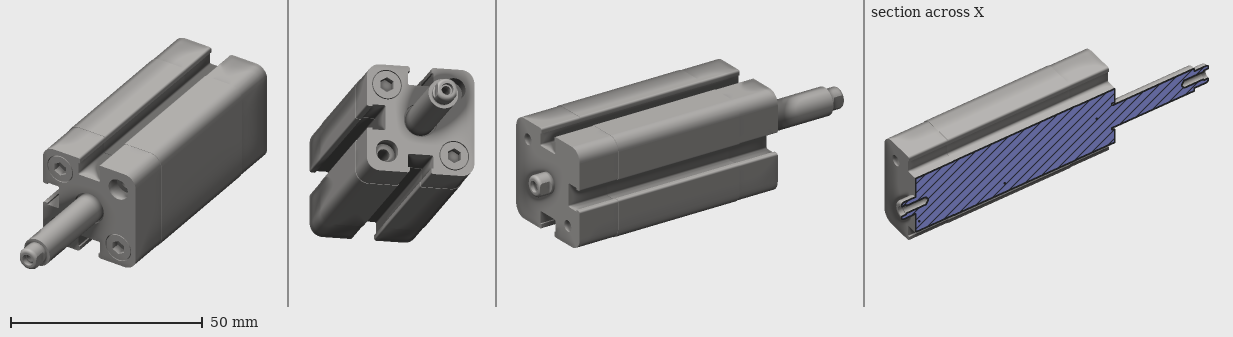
import cadquery as cq
import math

total_length = 97
body_side = 29.0
cap_inset = 0.1
corner_radius = 3.5
rod_reach = 25.0
nose_length = 4.5
cap_length = 12.2

slot_turns = (0, 180, -90)
slot_mouth = 5.6
slot_width = 6.6
slot_depth = 5.0
lip_thickness = 1.5
lip_radius = 0.6
floor_radius = 0.5

rod_diameter = 8.0
rod_bore_diameter = 9.0
rod_bore_depth = 1
nose_diameter = 6.0
nose_tip_diameter = 4.2
nose_flat_gap = 5.0
nose_flat_length = 3.2
thread_diameter = 3.2
core_diameter = 2.4
thread_depth = 1.5
core_depth = 7.8
drill_tip_angle = 118

hole_spacing = 18.0
through_diameter = 3.2
counterbore_diameter = 6.0
counterbore_depth = 3.9
screw_seat_diameter = 8.0
screw_head_diameter = 7.5
screw_gap_depth = 1
socket_across_flats = 3.5
socket_depth = 2.4
socket_turn = 30

half_side = body_side / 2
half_pitch = hole_spacing / 2
front_tip = -total_length / 2
rod_front = front_tip + nose_length
body_front = rod_front + rod_reach
body_rear = total_length / 2 - nose_length
body_length = body_rear - body_front


def cylinder(diameter, start, length, x=0, z=0):
    """Round bar parallel to Y, from y = start towards +Y."""
    circle = cq.Workplane("XZ", origin=(x, start, z)).circle(diameter / 2)
    return circle.extrude(-length)


def t_slot(inset):
    """Outline of the top T-slot in the XZ plane; the inset moves every face into the material."""
    top = half_side - inset
    floor = top - slot_depth
    lip_underside = top - lip_thickness
    wide = slot_width / 2 + inset
    mouth = slot_mouth / 2 + inset
    outline = (
        cq.Workplane("XZ")
        .moveTo(-mouth, top - lip_radius)
        .lineTo(-mouth, lip_underside)
        .lineTo(-wide, lip_underside)
        .lineTo(-wide, floor + floor_radius)
        .radiusArc((-wide + floor_radius, floor), -floor_radius)
        .lineTo(wide - floor_radius, floor)
        .radiusArc((wide, floor + floor_radius), -floor_radius)
        .lineTo(wide, lip_underside)
        .lineTo(mouth, lip_underside)
        .lineTo(mouth, top - lip_radius)
        .radiusArc((mouth + lip_radius, top), lip_radius)
        .lineTo(-mouth - lip_radius, top)
        .radiusArc((-mouth, top - lip_radius), lip_radius)
    )
    return outline.close()


def profile(start, length, inset=0):
    """Square length of body with round edges and T-slots on the top, bottom and -X sides."""
    side = body_side - 2 * inset
    block = cq.Workplane("XY").box(side, length, side)
    block = block.edges("|Y").fillet(corner_radius)
    cutter = t_slot(inset).extrude(length / 2, both=True)
    for turn in slot_turns:
        block = block.cut(cutter.rotate((0, 0, 0), (0, 1, 0), turn))
    return block.translate((0, start + length / 2, 0))


def make_body():
    """Barrel between two slightly slimmer end caps."""
    barrel = profile(body_front + cap_length, body_length - 2 * cap_length)
    front_cap = profile(body_front, cap_length, inset=cap_inset)
    rear_cap = profile(body_rear - cap_length, cap_length, inset=cap_inset)
    return barrel.union(front_cap).union(rear_cap)


def cut_mounting_hole(body, x, z):
    """Through hole with a counterbore from the front face."""
    body = body.cut(cylinder(through_diameter, body_front, body_length, x, z))
    return body.cut(cylinder(counterbore_diameter, body_front, counterbore_depth, x, z))


def cut_screw(body, x, z):
    """Sunk socket screw: a narrow gap around the flush head and a hexagon socket."""
    gap = cylinder(screw_seat_diameter, body_front, screw_gap_depth, x, z)
    gap = gap.cut(cylinder(screw_head_diameter, body_front, screw_gap_depth, x, z))
    socket_corners = socket_across_flats / math.cos(math.pi / 6)
    face = cq.Workplane("XZ", origin=(x, body_front, z))
    socket = face.polygon(6, socket_corners).extrude(-socket_depth)
    socket = socket.rotate((x, 0, z), (x, 1, z), socket_turn)
    return body.cut(gap).cut(socket)


def make_nose():
    """Front rod tip: round-edged pin with two wrench flats."""
    nose_radius = nose_diameter / 2
    tip_radius = nose_tip_diameter / 2
    rounding = nose_radius - tip_radius
    nose = (
        cq.Workplane("XY")
        .moveTo(0, front_tip)
        .lineTo(tip_radius, front_tip)
        .radiusArc((nose_radius, front_tip + rounding), -rounding)
        .lineTo(nose_radius, rod_front)
        .lineTo(0, rod_front)
        .close()
        .revolve(360, (0, 0, 0), (0, 1, 0))
    )
    flat_x = nose_flat_gap / 2
    flat_end = front_tip + nose_flat_length
    run_out = nose_radius - flat_x
    flat = (
        cq.Workplane("XY")
        .moveTo(flat_x, front_tip)
        .lineTo(flat_x, flat_end)
        .lineTo(flat_x + run_out, flat_end + run_out)
        .lineTo(flat_x + run_out, front_tip)
        .close()
        .extrude(nose_radius, both=True)
    )
    return nose.cut(flat).cut(flat.mirror("YZ"))


def thread_hole():
    """Stepped threaded hole in the front rod tip, ending in a drill point."""
    thread = thread_diameter / 2
    core = core_diameter / 2
    point = core / math.tan(math.radians(drill_tip_angle / 2))
    return (
        cq.Workplane("XY")
        .moveTo(0, front_tip)
        .lineTo(thread, front_tip)
        .lineTo(thread, front_tip + thread_depth)
        .lineTo(core, front_tip + thread_depth)
        .lineTo(core, front_tip + core_depth)
        .lineTo(0, front_tip + core_depth + point)
        .close()
        .revolve(360, (0, 0, 0), (0, 1, 0))
    )


body = make_body()
for side in (-1, 1):
    body = cut_mounting_hole(body, side * half_pitch, side * half_pitch)
    body = cut_screw(body, side * half_pitch, -side * half_pitch)
body = body.cut(cylinder(rod_bore_diameter, body_front, rod_bore_depth))

rod = cylinder(rod_diameter, rod_front, body_rear - rod_front)
nose = make_nose()
hole = thread_hole()
result = body.union(rod).union(nose).union(nose.mirror("XZ"))
result = result.cut(hole).cut(hole.mirror("XZ"))